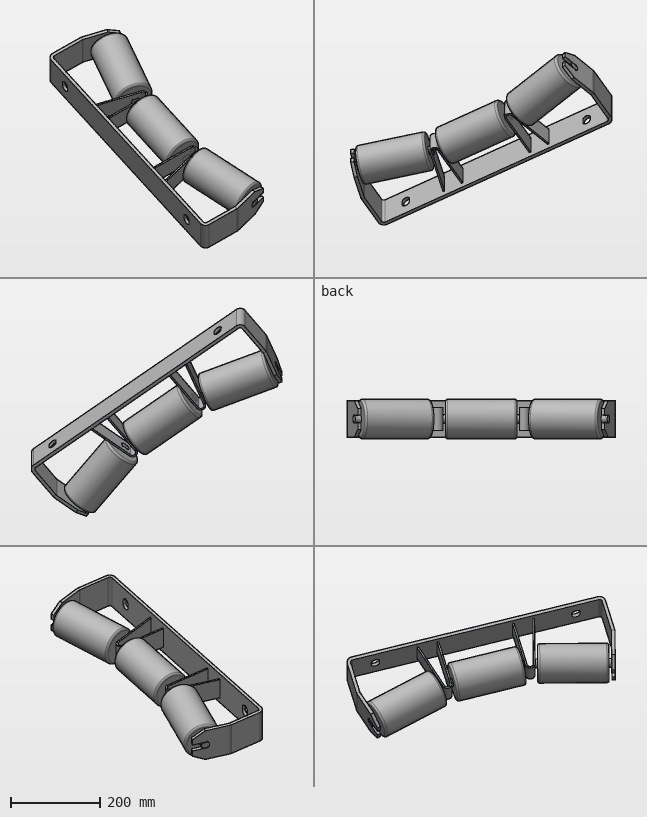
import cadquery as cq
import math

frame_length = 600.0
frame_height = 82.0
frame_thickness = 8.0
frame_bend_radius = 14.0
wall_straight_end = 91.0
tilt = 15.0
wing_tip_y = 181.0
wing_chamfer_length = 30.0
wing_chamfer_height = 17.5
wing_slot_width = 17.0

mount_slot_spacing = 466.0
mount_slot_width = 19.0
mount_slot_height = 28.0

bracket_height = 52.0
bracket_thickness = 4.0
bracket_bend_radius = 11.0
bracket_gap = 5.5

roller_diameter = 89.0
roller_length = 160.0
roller_edge_radius = 5.0
shaft_diameter = 20.0
shaft_flat_width = 15.0
flat_lead = 1.0
middle_roller_y = 101.5
outer_roller_x = 193.5
assembly_depth = 189.47

sine = math.sin(math.radians(tilt))
cosine = math.cos(math.radians(tilt))
half_tilt_tangent = math.tan(math.radians(tilt / 2))
half_length = frame_length / 2
half_roller = roller_length / 2

outer_roller_y = (
    assembly_depth
    - roller_edge_radius
    - (half_roller - roller_edge_radius) * sine
    - (roller_diameter / 2 - roller_edge_radius) * cosine
)

wing_corner_y = wall_straight_end + frame_bend_radius * half_tilt_tangent
wing_length = (wing_tip_y - wing_corner_y) / cosine

inner_shaft_reach = half_roller + bracket_gap + bracket_thickness
outer_shaft_reach = (
    (half_length - outer_roller_x) * cosine - (outer_roller_y - wing_corner_y) * sine
)


def place_on_left(shape):
    """Moves a shape drawn along X about the origin onto the axis of the left roller."""
    return shape.rotate((0, 0, 0), (0, 0, 1), -tilt).translate((-outer_roller_x, outer_roller_y, 0))


def mirror_to_right(shape):
    return shape.mirror("YZ")


def make_base_and_walls():
    """U-shaped strip up to the start of the wings' bends."""
    inner_radius = frame_bend_radius - frame_thickness
    outline = (
        cq.Workplane("XY")
        .rect(frame_length, 2 * wall_straight_end)
        .extrude(frame_height / 2, both=True)
        .edges("|Z")
        .fillet(frame_bend_radius)
    )
    opening = (
        cq.Workplane("XY")
        .rect(frame_length - 2 * frame_thickness, 2 * (wall_straight_end - frame_thickness))
        .extrude(frame_height / 2, both=True)
        .edges("|Z")
        .fillet(inner_radius)
    )
    lower_half = (
        cq.Workplane("XY")
        .box(frame_length, wall_straight_end, frame_height)
        .translate((0, -wall_straight_end / 2, 0))
    )
    return outline.cut(opening).intersect(lower_half).translate((0, wall_straight_end, 0))


def make_wing():
    """Left leaning end of the frame with chamfered corners and the open shaft slot."""
    bend_x = -half_length + frame_bend_radius
    inner_radius = frame_bend_radius - frame_thickness

    def on_bend(radius, angle):
        return (
            bend_x - radius * math.cos(math.radians(angle)),
            wall_straight_end + radius * math.sin(math.radians(angle)),
        )

    outer_tip = (-half_length + wing_length * sine, wing_tip_y)
    inner_tip = (outer_tip[0] + frame_thickness * cosine, outer_tip[1] - frame_thickness * sine)
    sheet = (
        cq.Workplane("XY")
        .moveTo(-half_length, wall_straight_end)
        .threePointArc(on_bend(frame_bend_radius, tilt / 2), on_bend(frame_bend_radius, tilt))
        .lineTo(*outer_tip)
        .lineTo(*inner_tip)
        .lineTo(*on_bend(inner_radius, tilt))
        .threePointArc(on_bend(inner_radius, tilt / 2), on_bend(inner_radius, 0))
        .close()
        .extrude(frame_height / 2, both=True)
    )
    wing_plane = cq.Plane(
        origin=(-half_length, wing_corner_y, 0), xDir=(sine, cosine, 0), normal=(cosine, -sine, 0)
    )
    half_height = frame_height / 2
    corner_cut = (
        cq.Workplane(wing_plane)
        .moveTo(wing_length, half_height)
        .lineTo(wing_length - wing_chamfer_length, half_height)
        .lineTo(wing_length, half_height - wing_chamfer_height)
        .close()
        .extrude(frame_thickness)
    )
    shaft_y = outer_roller_y + outer_shaft_reach * sine
    shaft_position = (shaft_y - wing_corner_y) / cosine
    slot_length = wing_length - shaft_position
    slot = (
        cq.Workplane(wing_plane)
        .center(shaft_position + slot_length / 2, 0)
        .rect(slot_length, wing_slot_width)
        .extrude(frame_thickness)
    )
    round_hole = (
        cq.Workplane(wing_plane)
        .center(shaft_position, 0)
        .circle(shaft_diameter / 2)
        .extrude(frame_thickness)
    )
    slot_end = round_hole.intersect(
        cq.Workplane(wing_plane)
        .center(shaft_position, 0)
        .rect(shaft_diameter, wing_slot_width)
        .extrude(frame_thickness)
    )
    return sheet.cut(corner_cut).cut(corner_cut.mirror("XY")).cut(slot).cut(slot_end)


def make_mount_slots():
    return (
        cq.Workplane("XZ")
        .pushPoints([(-mount_slot_spacing / 2, 0), (mount_slot_spacing / 2, 0)])
        .slot2D(mount_slot_height, mount_slot_width, 90)
        .extrude(-frame_thickness)
    )


def make_bracket():
    """Left folded bracket between the left and the middle roller."""
    upright_x = -half_roller - bracket_gap
    bend_x = upright_x - bracket_bend_radius
    slant_offset = half_roller + bracket_gap + bracket_bend_radius
    bend_y = outer_roller_y + ((bend_x + outer_roller_x) * cosine - slant_offset) / sine
    inner_radius = bracket_bend_radius - bracket_thickness

    def on_fold(radius, angle):
        return (
            bend_x + radius * math.cos(math.radians(angle)),
            bend_y + radius * math.sin(math.radians(angle)),
        )

    def slant_foot(radius):
        x, y = on_fold(radius, 180 - tilt)
        return (x - (y - frame_thickness) * sine / cosine, frame_thickness)

    return (
        cq.Workplane("XY")
        .moveTo(upright_x, frame_thickness)
        .lineTo(*on_fold(bracket_bend_radius, 0))
        .threePointArc(on_fold(bracket_bend_radius, 90), on_fold(bracket_bend_radius, 180 - tilt))
        .lineTo(*slant_foot(bracket_bend_radius))
        .lineTo(*slant_foot(inner_radius))
        .lineTo(*on_fold(inner_radius, 180 - tilt))
        .threePointArc(on_fold(inner_radius, 90), on_fold(inner_radius, 0))
        .lineTo(upright_x - bracket_thickness, frame_thickness)
        .close()
        .extrude(bracket_height / 2, both=True)
    )


def make_shaft(start, end, start_flat, end_flat):
    """Round shaft along X with a pair of flats on each end."""

    def rod(x, length):
        return cq.Workplane("YZ", origin=(x, 0, 0)).circle(shaft_diameter / 2).extrude(length)

    def flatted_rod(x, length):
        block = (
            cq.Workplane("YZ", origin=(x, 0, 0))
            .rect(shaft_diameter, shaft_flat_width)
            .extrude(length)
        )
        return rod(x, length).intersect(block)

    middle = rod(start + start_flat, end - start - start_flat - end_flat)
    return middle.union(flatted_rod(start, start_flat)).union(flatted_rod(end - end_flat, end_flat))


def make_roller(start, end, start_flat, end_flat):
    """Roller centred on the origin, in one piece with its shaft."""
    barrel = (
        cq.Workplane("YZ", origin=(-half_roller, 0, 0))
        .circle(roller_diameter / 2)
        .extrude(roller_length)
        .edges()
        .fillet(roller_edge_radius)
    )
    return barrel.union(make_shaft(start, end, start_flat, end_flat))


bracket_flat = bracket_thickness + flat_lead
wing_flat = frame_thickness + flat_lead

left_roller = place_on_left(make_roller(-outer_shaft_reach, inner_shaft_reach, wing_flat, bracket_flat))
outer_rollers = [left_roller, mirror_to_right(left_roller)]

middle_roller = make_roller(-inner_shaft_reach, inner_shaft_reach, bracket_flat, bracket_flat)
middle_roller = middle_roller.translate((0, middle_roller_y, 0))

wing = make_wing()
bracket = make_bracket().cut(left_roller)
frame = make_base_and_walls().cut(make_mount_slots())
for left_part in [wing, bracket]:
    frame = frame.union(left_part, clean=False).union(mirror_to_right(left_part), clean=False)
frame = frame.union(middle_roller, clean=False)

result = cq.Compound.makeCompound([frame.val(), *[roller.val() for roller in outer_rollers]])